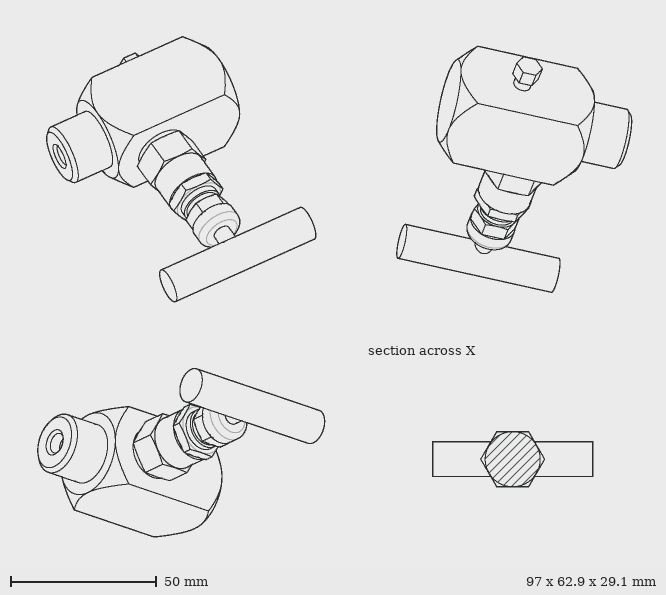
import cadquery as cq
import math


block_width = 29.1
block_length = 47.9
corner_cone_drop = block_width / 2 * (math.sqrt(2) - 1)

spigot_dia = 21.0
spigot_length = 15.0
spigot_tip_dia = 18.0
spigot_chamfer = (spigot_dia - spigot_tip_dia) / 2
bore_mouth_dia = 9.0
bore_dia = 7.0
bore_depth = 5.0
bore_chamfer = (bore_mouth_dia - bore_dia) / 2

screw_y = 26.0
screw_shank_dia = 6.0
screw_shank_length = 4.0
screw_head_flats = 8.0
screw_head_length = 5.0

bonnet_y = 17.0
collar_dia = 18.0
collar_length = 2.0
body_nut_flats = 19.0
body_nut_length = 9.9
barrel_dia = 18.6
barrel_length = 10.0
lock_nut_flats = 17.0
lock_nut_length = 4.0
disc_dia = 14.0
disc_length = 2.2
neck_dia = 12.0
neck_length = 2.5
gland_nut_flats = 14.0
gland_nut_length = 5.0
cap_dia = 16.0
cap_length = 6.1
cap_fillet = 1.9
nut_chamfer = 0.4

stem_dia = 6.0
handle_dia = 12.0
handle_length = 55.0

block_side = block_width / 2
screw_head_x = -block_side - screw_shank_length
left_end = screw_head_x - screw_head_length
overall_length = 97.0
handle_x = left_end + overall_length - handle_dia / 2


def rod(dia, start, length, y):
    """Cylinder along +X from x = start, with its axis at the given y."""
    return cq.Workplane("YZ", origin=(start, y, 0)).circle(dia / 2).extrude(length)


def hex_prism(flats, start, length, y):
    """Hexagon along +X with two corners pointing along Y."""
    corner_dia = flats / math.cos(math.pi / 6)
    return cq.Workplane("YZ", origin=(start, y, 0)).polygon(6, corner_dia).extrude(length)


def hex_nut(flats, start, length, y, chamfer_outer_end=True):
    """Hexagon whose corners are turned down to the across-flats circle at its ends."""
    flat_r = flats / 2
    corner_r = flat_r / math.cos(math.pi / 6)
    outer_end_r = flat_r if chamfer_outer_end else corner_r
    turning = (
        cq.Workplane("XY", origin=(start, y, 0))
        .moveTo(0, 0)
        .lineTo(0, flat_r)
        .lineTo(nut_chamfer, corner_r)
        .lineTo(length - nut_chamfer, corner_r)
        .lineTo(length, outer_end_r)
        .lineTo(length, 0)
        .close()
        .revolve(360, (0, 0, 0), (1, 0, 0))
    )
    return hex_prism(flats, start, length, y).intersect(turning)


def make_block():
    """Square bar with the corners of both ends turned to 45 degree cones."""
    bar = cq.Workplane("XY").box(block_width, block_length, block_width, centered=(True, False, True))
    face_r = block_width / 2
    corner_r = face_r + corner_cone_drop
    turning = (
        cq.Workplane("XY")
        .moveTo(0, 0)
        .lineTo(face_r, 0)
        .lineTo(corner_r, corner_cone_drop)
        .lineTo(corner_r, block_length - corner_cone_drop)
        .lineTo(face_r, block_length)
        .lineTo(0, block_length)
        .close()
        .revolve(360, (0, 0, 0), (0, 1, 0))
    )
    return bar.intersect(turning)


def make_spigot():
    """Round inlet spigot pointing to -Y, chamfered at its tip."""
    spigot = cq.Workplane("XZ").circle(spigot_dia / 2).extrude(spigot_length)
    return spigot.faces("<Y").edges().chamfer(spigot_chamfer)


def make_inlet_bore():
    """Blind bore on the Y axis with a 45 degree countersink at its mouth."""
    return (
        cq.Workplane("XY", origin=(0, -spigot_length, 0))
        .moveTo(0, 0)
        .lineTo(bore_mouth_dia / 2, 0)
        .lineTo(bore_dia / 2, bore_chamfer)
        .lineTo(bore_dia / 2, bore_depth)
        .lineTo(0, bore_depth)
        .close()
        .revolve(360, (0, 0, 0), (0, 1, 0))
    )


def make_bleed_screw():
    """Hexagon head on a round shank, standing out of the block's -X side."""
    shank = rod(screw_shank_dia, screw_head_x, screw_shank_length, screw_y)
    head = hex_prism(screw_head_flats, left_end, screw_head_length, screw_y)
    return shank.union(head)


body_nut_x = block_side + collar_length
barrel_x = body_nut_x + body_nut_length
lock_nut_x = barrel_x + barrel_length
disc_x = lock_nut_x + lock_nut_length
neck_x = disc_x + disc_length
gland_nut_x = neck_x + neck_length
cap_x = gland_nut_x + gland_nut_length
bonnet_end = cap_x + cap_length


def make_bonnet():
    """Stepped bonnet with three hexagons and a rounded end cap, along +X from the block."""
    cap = rod(cap_dia, cap_x, cap_length, bonnet_y).faces(">X").edges().fillet(cap_fillet)
    return (
        rod(collar_dia, block_side, collar_length, bonnet_y)
        .union(hex_nut(body_nut_flats, body_nut_x, body_nut_length, bonnet_y))
        .union(rod(barrel_dia, barrel_x, barrel_length, bonnet_y))
        .union(hex_nut(lock_nut_flats, lock_nut_x, lock_nut_length, bonnet_y))
        .union(rod(disc_dia, disc_x, disc_length, bonnet_y))
        .union(rod(neck_dia, neck_x, neck_length, bonnet_y))
        .union(hex_nut(gland_nut_flats, gland_nut_x, gland_nut_length, bonnet_y, chamfer_outer_end=False))
        .union(cap)
    )


def make_housing():
    """Block, spigot, bleed screw and bonnet as one solid, with the inlet bore."""
    solid = make_block().union(make_spigot()).union(make_bleed_screw()).union(make_bonnet())
    return solid.cut(make_inlet_bore())


def make_handle():
    """T-bar along Y on a stem that starts at the end of the bonnet."""
    bar = (
        cq.Workplane("XZ", origin=(handle_x, bonnet_y, 0))
        .circle(handle_dia / 2)
        .extrude(handle_length / 2, both=True)
    )
    stem = rod(stem_dia, bonnet_end, handle_x - bonnet_end, bonnet_y)
    return bar.union(stem)


housing = make_housing()
handle = make_handle()

result = cq.Compound.makeCompound([housing.val(), handle.val()])